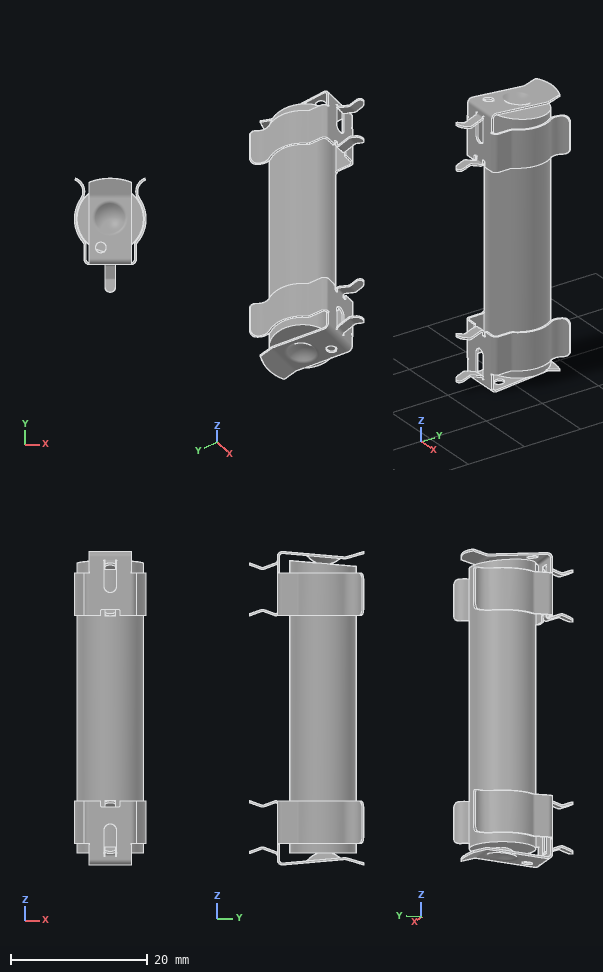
import cadquery as cq
import math

overall_height = 46.1
half_height = overall_height / 2
sheet = 0.3
tilt = 5.0

tube_diameter = 9.8
tube_radius = tube_diameter / 2
tube_half_length = 21.3

band_top = 19.9
band_bottom = 13.6
band_height = band_top - band_bottom
wall_outer_y = -6.75
wall_y = wall_outer_y + sheet / 2
channel_width = 7.7
leg_x = (channel_width - sheet) / 2
channel_bend = 0.85 - sheet / 2
arm_clearance = 0.07
arm_radius = tube_radius + arm_clearance + sheet / 2
leg_bend = 0.85
arm_end_angle = 34.3
flare_radius = 2.0
flare_angle = 68.3
flare_corner = 1.0

plate_width = 6.25
plate_bend = 0.8 - sheet / 2
valley_y = 3.3
valley_radius = 1.5
lip_tilt = 16.5
lip_end_y = 6.0
lip_sag = 0.6
relief_height = 0.15
hole_diameter = 1.55
hole_x = -1.4
hole_y = -4.2

dimple_y = 0.1
dimple_angle = 45.0
dimple_rim_radius = 2.63
dimple_dome_radius = 2.1

tab_width = 1.55
tab_tilt = 20.0
tab_kink_y = -8.9
tab_end_y = -10.8
tab_kink_radius = 0.55
upper_tab_z = 20.5
lower_tab_z = 14.4
upper_tab_bend = 0.6
lower_tab_bend = 0.345
slot_width = 1.85
slot_top = 21.75
slot_bottom = 17.0
notch_width = 2.9
notch_height = 0.9
notch_corner = 0.28


def sin(degrees):
    return math.sin(math.radians(degrees))


def cos(degrees):
    return math.cos(math.radians(degrees))


def tan(degrees):
    return math.tan(math.radians(degrees))


def bent_strip(width, start, bends, end):
    """Sheet strip centred on x = 0 along a (y, z) path; each bend is a corner (y, z) and a radius."""
    corners = [start] + [corner for corner, _ in bends] + [end]
    path = cq.Workplane("YZ").moveTo(*start)
    for i, (corner, radius) in enumerate(bends, start=1):
        before = cq.Vector(*corners[i - 1])
        after = cq.Vector(*corners[i + 1])
        here = cq.Vector(*corner)
        toward_before = (before - here).normalized()
        toward_after = (after - here).normalized()
        setback = radius / math.tan(toward_before.getAngle(toward_after) / 2)
        bend_start = here + toward_before * setback
        bend_end = here + toward_after * setback
        path = path.lineTo(bend_start.x, bend_start.y)
        path = path.tangentArcPoint((bend_end.x, bend_end.y), relative=False)
    path = path.lineTo(*end)
    section = cq.Workplane("XY", origin=(0, start[0], start[1])).rect(width, sheet)
    return section.sweep(path)


def arm_side(offset):
    """One face of the +X half of the band, offset outward from mid-sheet: its points and arc midpoints.

    The points run from the wall centre round the channel corner, the leg and the arm to the flare's tip.
    """
    corner_x = leg_x - channel_bend
    corner_y = wall_y + channel_bend
    corner_radius = channel_bend + offset
    bend_x = leg_x + leg_bend
    bend_y = -math.sqrt((arm_radius + leg_bend) ** 2 - bend_x ** 2)
    bend_radius = leg_bend - offset
    bend_angle = math.degrees(math.atan2(-bend_y, bend_x))
    side_radius = arm_radius + offset
    flare_center_x = (arm_radius + flare_radius) * cos(arm_end_angle)
    flare_center_y = (arm_radius + flare_radius) * sin(arm_end_angle)
    side_flare = flare_radius - offset
    points = [
        (0, corner_y - corner_radius),
        (corner_x, corner_y - corner_radius),
        (corner_x + corner_radius, corner_y),
        (bend_x - bend_radius, bend_y),
        (side_radius * cos(bend_angle), -side_radius * sin(bend_angle)),
        (side_radius * cos(arm_end_angle), side_radius * sin(arm_end_angle)),
        (flare_center_x - side_flare * cos(flare_angle), flare_center_y + side_flare * sin(flare_angle)),
    ]
    midpoints = [
        (corner_x + corner_radius * cos(45), corner_y - corner_radius * sin(45)),
        (bend_x - bend_radius * cos(bend_angle / 2), bend_y + bend_radius * sin(bend_angle / 2)),
        (side_radius, 0),
        (flare_center_x - side_flare, flare_center_y),
    ]
    return points, midpoints


def clip_arm():
    """Half of the band on the +X side: wall, leg, arm around the tube and flared tip."""
    outer, outer_mid = arm_side(sheet / 2)
    inner, inner_mid = arm_side(-sheet / 2)
    arm = (
        cq.Workplane("XY", origin=(0, 0, band_bottom))
        .moveTo(*outer[0])
        .lineTo(*outer[1])
        .threePointArc(outer_mid[0], outer[2])
        .lineTo(*outer[3])
        .threePointArc(outer_mid[1], outer[4])
        .threePointArc(outer_mid[2], outer[5])
        .threePointArc(outer_mid[3], outer[6])
        .lineTo(*inner[6])
        .threePointArc(inner_mid[3], inner[5])
        .threePointArc(inner_mid[2], inner[4])
        .threePointArc(inner_mid[1], inner[3])
        .lineTo(*inner[2])
        .threePointArc(inner_mid[0], inner[1])
        .lineTo(*inner[0])
        .close()
        .extrude(band_height)
    )
    return arm.faces(">Y").edges(">Z or <Z").fillet(flare_corner)


def plate_mid_z(y):
    """Height of the contact plate's mid-plane at a given y."""
    bend_y = wall_y + plate_bend
    bend_z = half_height - sheet / 2 - plate_bend
    return bend_z + (plate_bend - (y - bend_y) * sin(tilt)) / cos(tilt)


def wall_and_plate():
    """Upper back wall with the tilted contact plate and its upturned, bowed lip."""
    valley_z = plate_mid_z(valley_y)
    lip_reach = lip_end_y + sheet
    lip = (lip_reach, valley_z + (lip_reach - valley_y) * tan(lip_tilt))
    bends = [((wall_y, plate_mid_z(wall_y)), plate_bend), ((valley_y, valley_z), valley_radius)]
    strip = bent_strip(plate_width, (wall_y, band_top), bends, lip)
    half_width = plate_width / 2
    plan = (
        cq.Workplane("XY")
        .moveTo(-half_width, wall_outer_y)
        .lineTo(half_width, wall_outer_y)
        .lineTo(half_width, lip_end_y - lip_sag)
        .threePointArc((0, lip_end_y), (-half_width, lip_end_y - lip_sag))
        .close()
        .extrude(overall_height)
    )
    flat_width = 2 * (leg_x - channel_bend)
    relief = cq.Workplane("XY", origin=(0, wall_y, band_top + relief_height / 2))
    reliefs = relief.box(plate_width, sheet, relief_height).cut(relief.box(flat_width, sheet, relief_height))
    hole = cq.Workplane("XY").center(hole_x, hole_y).circle(hole_diameter / 2).extrude(overall_height)
    return strip.intersect(plan).cut(reliefs).cut(hole)


def dimple_profile():
    """Revolved profile of the dimple: a rounded rim turning down into a spherical dome.

    Local axes: x is the distance from the dimple axis, y is the height above the plate's mid-plane.
    """
    rim_upper = (dimple_rim_radius - dimple_dome_radius) / sin(dimple_angle)
    rim_lower = rim_upper - sheet
    rim_center_y = sheet / 2 - rim_upper
    dome_upper = dimple_dome_radius / sin(dimple_angle)
    dome_lower = dome_upper + sheet
    dome_center_y = rim_center_y + (rim_upper + dome_upper) * cos(dimple_angle)
    half = dimple_angle / 2

    def on_rim(radius, angle):
        return (dimple_rim_radius - radius * sin(angle), rim_center_y + radius * cos(angle))

    def on_dome(radius, angle):
        return (radius * sin(angle), dome_center_y - radius * cos(angle))

    return (
        cq.Workplane("XY")
        .moveTo(*on_rim(rim_upper, 0))
        .threePointArc(on_rim(rim_upper, half), on_rim(rim_upper, dimple_angle))
        .threePointArc(on_dome(dome_upper, half), on_dome(dome_upper, 0))
        .lineTo(*on_dome(dome_lower, 0))
        .threePointArc(on_dome(dome_lower, half), on_dome(dome_lower, dimple_angle))
        .threePointArc(on_rim(rim_lower, half), on_rim(rim_lower, 0))
        .close()
    )


def place_on_plate(shape):
    """Move a shape built around local +Y so that it stands on the plate at the dimple."""
    upright = shape.rotate((0, 0, 0), (1, 0, 0), 90 - tilt)
    return upright.translate((0, dimple_y, plate_mid_z(dimple_y)))


def add_dimple(clip):
    """Replace a disc of the contact plate with the pressed dimple."""
    dimple = dimple_profile().revolve(360, (0, 0), (0, 1))
    opening = cq.Workplane("XZ").circle(dimple_rim_radius).extrude(sheet, both=True)
    return clip.cut(place_on_plate(opening)).union(place_on_plate(dimple))


def wall_openings():
    """Round-ended slot above and open notch below, where the tabs leave the back wall."""
    slot_center_z = slot_bottom + slot_width / 2
    slot_length = slot_top - slot_center_z
    slot_end = cq.Workplane("XZ").center(0, slot_center_z).circle(slot_width / 2)
    slot_sides = cq.Workplane("XZ").center(0, slot_center_z + slot_length / 2).rect(slot_width, slot_length)
    slot = slot_end.extrude(2 * sheet, both=True).union(slot_sides.extrude(2 * sheet, both=True))
    slot = slot.translate((0, wall_y, 0))
    notch = (
        cq.Workplane("XY")
        .box(notch_width, 2 * sheet, notch_height)
        .edges("|Y and >Z")
        .fillet(notch_corner)
        .translate((0, wall_y, band_bottom + notch_height / 2))
    )
    return slot.union(notch)


def tab(stem_top, kink_z, slope, bend):
    """Lead that leaves the wall, runs out to a kink and returns to a rounded tip."""
    reach = tab_end_y - sheet
    root = (wall_y, kink_z + (wall_y - tab_kink_y) * slope)
    tip = (reach, kink_z + (tab_kink_y - reach) * slope)
    bends = [(root, bend), ((tab_kink_y, kink_z), tab_kink_radius)]
    strip = bent_strip(tab_width, (wall_y, stem_top), bends, tip)
    tip_center_y = tab_end_y + tab_width / 2
    length = wall_y + sheet - tip_center_y
    plan = (
        cq.Workplane("XY")
        .center(0, tip_center_y + length / 2)
        .rect(tab_width, length)
        .extrude(overall_height)
        .union(cq.Workplane("XY").center(0, tip_center_y).circle(tab_width / 2).extrude(overall_height))
    )
    return strip.intersect(plan)


def make_clip():
    """Upper spring clip: band, contact plate with dimple, and two solder tabs."""
    arm = clip_arm()
    clip = arm.union(arm.mirror("YZ")).union(wall_and_plate())
    clip = add_dimple(clip).cut(wall_openings())
    clip = clip.union(tab(slot_top + sheet, upper_tab_z, tan(tab_tilt), upper_tab_bend))
    notch_top = band_bottom + notch_height
    return clip.union(tab(notch_top + sheet, lower_tab_z, -tan(tab_tilt), lower_tab_bend))


def make_tube(clips):
    """Solid tube with a sloping upper end, recessed where the dimples press in."""
    side_drop = tube_radius * tan(tilt)
    tube = (
        cq.Workplane("YZ")
        .moveTo(-tube_radius, -tube_half_length)
        .lineTo(tube_radius, -tube_half_length)
        .lineTo(tube_radius, tube_half_length - side_drop)
        .lineTo(-tube_radius, tube_half_length + side_drop)
        .close()
        .extrude(tube_radius, both=True)
        .intersect(cq.Workplane("XY").circle(tube_radius).extrude(half_height, both=True))
    )
    for clip in clips:
        tube = tube.cut(clip)
    return tube


upper_clip = make_clip()
lower_clip = upper_clip.rotate((0, 0, 0), (0, 1, 0), 180)
clips = [upper_clip, lower_clip]
tube = make_tube(clips)

result = cq.Compound.makeCompound([
    *tube.solids().vals(),
    *upper_clip.solids().vals(),
    *lower_clip.solids().vals(),
])